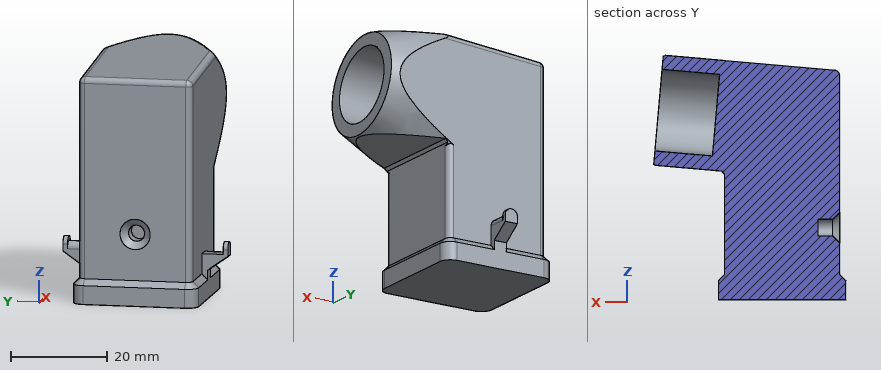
import cadquery as cq
import math

body_width = 24.0
body_corner_radius = 1.25
half_body = body_width / 2

flange_width = 26.5
flange_straight_height = 4.0
flange_step = (flange_width - body_width) / 2
flange_height = flange_straight_height + flange_step
flange_corner_radius = body_corner_radius + flange_step

outlet_tilt = 5.0
outlet_half_height = 11.5
mouth_radius = 11.33
mouth_center_x = 25.72
mouth_center_z = 39.42
cone_slope = 0.37
cone_length = 40.0
gusset_size = 0.6
gusset_foot_height = 25.5
bore_radius = 8.5
bore_depth = 12.0

screw_height = 15.0
screw_radius = 1.7
countersink_radius = 3.2
countersink_depth = countersink_radius - screw_radius
screw_hole_depth = 4.5

hook_width = 3.0
hook_reach = 17.5
hook_lip_thickness = 1.0
hook_tip_height = 12.0
hook_saddle_height = 9.5
hook_nose_height = 9.0
hook_root_height = 6.0
hook_round_radius = hook_width / 2
hook_root = half_body - body_corner_radius
hook_lip_inner = hook_reach - hook_lip_thickness

tilt = math.radians(outlet_tilt)

mouth_plane = cq.Plane(
    origin=(mouth_center_x, 0, mouth_center_z),
    xDir=(0, 1, 0),
    normal=(math.cos(tilt), 0, math.sin(tilt)),
)


def axis_height(x):
    """Height of the tilted outlet axis at position x."""
    return mouth_center_z + (x - mouth_center_x) * math.tan(tilt)


def roof_height(x):
    """Height of the sloping roof at position x."""
    return axis_height(x) + outlet_half_height / math.cos(tilt)


def outlet_floor_height(x):
    """Height of the outlet underside at position x."""
    return axis_height(x) - outlet_half_height / math.cos(tilt)


def make_body():
    profile = [
        (-half_body, 0),
        (half_body, 0),
        (half_body, roof_height(half_body)),
        (-half_body, roof_height(-half_body)),
    ]
    tower = cq.Workplane("XZ").polyline(profile).close().extrude(half_body, both=True)
    return tower.edges("|Z").fillet(body_corner_radius).faces(">Z").edges().fillet(body_corner_radius)


def make_flange():
    block = cq.Workplane("XY").rect(flange_width, flange_width).extrude(flange_height)
    block = block.edges("|Z").fillet(flange_corner_radius)
    return block.faces(">Z").edges().chamfer(flange_step)


def make_outlet_gusset():
    """Filling of the inside corner where the outlet underside meets the tower wall."""
    gusset_tip = half_body + gusset_size
    profile = [
        (0, gusset_foot_height),
        (half_body, gusset_foot_height),
        (half_body, outlet_floor_height(half_body) - gusset_size),
        (gusset_tip, outlet_floor_height(gusset_tip)),
        (gusset_tip, axis_height(gusset_tip)),
        (0, axis_height(0)),
    ]
    return cq.Workplane("XZ").polyline(profile).close().extrude(half_body, both=True)


def make_outlet():
    prism_length = mouth_center_x / math.cos(tilt)
    prism = cq.Workplane(mouth_plane).rect(body_width, 2 * outlet_half_height).extrude(-prism_length)
    roof_edges = prism.edges(cq.selectors.ParallelDirSelector(mouth_plane.zDir)).edges(">Z")
    prism = roof_edges.fillet(body_corner_radius)
    cone = cq.Solid.makeCone(
        mouth_radius,
        mouth_radius + cone_slope * cone_length,
        cone_length,
        pnt=mouth_plane.origin,
        dir=mouth_plane.zDir * -1,
    )
    return prism.union(make_outlet_gusset()).intersect(cq.Workplane(cone))


def make_bore():
    return cq.Workplane(mouth_plane).circle(bore_radius).extrude(-bore_depth)


def make_screw_hole():
    """Revolved cutter, drawn as depth into the wall against radius."""
    bottom_x = -half_body + screw_hole_depth
    profile = [
        (-half_body, 0),
        (-half_body, countersink_radius),
        (-half_body + countersink_depth, screw_radius),
        (bottom_x, screw_radius),
        (bottom_x, 0),
    ]
    cutter = cq.Workplane("XY").polyline(profile).close().revolve(360, (0, 0, 0), (1, 0, 0))
    return cutter.translate((0, 0, screw_height))


def make_hook():
    """Hook on the +Y side: a bracket with an upright, round-topped lip."""
    flange_face = flange_width / 2
    profile = [
        (hook_root, flange_straight_height),
        (flange_face, flange_straight_height),
        (flange_face, hook_root_height),
        (hook_reach, hook_nose_height),
        (hook_reach, hook_tip_height),
        (hook_lip_inner, hook_tip_height),
        (hook_lip_inner, hook_saddle_height),
        (hook_root, hook_saddle_height),
    ]
    hook = cq.Workplane("YZ").polyline(profile).close().extrude(hook_width / 2, both=True)
    shoulder_height = hook_tip_height - hook_round_radius
    envelope = (
        cq.Workplane("XZ")
        .moveTo(-hook_round_radius, 0)
        .lineTo(hook_round_radius, 0)
        .lineTo(hook_round_radius, shoulder_height)
        .threePointArc((0, hook_tip_height), (-hook_round_radius, shoulder_height))
        .close()
        .extrude(-hook_reach)
    )
    return hook.intersect(envelope)


def make_hook_rib():
    """Half-round rib along the saddle of the +Y hook, from the wall to the lip."""
    return (
        cq.Workplane("XZ", origin=(0, hook_root, hook_saddle_height))
        .moveTo(-hook_round_radius, 0)
        .threePointArc((0, hook_round_radius), (hook_round_radius, 0))
        .close()
        .extrude(-(hook_lip_inner - hook_root))
    )


hook = make_hook()
result = make_body().union(make_outlet()).union(make_flange())
result = result.union(hook).union(hook.mirror("XZ")).union(make_hook_rib())
result = result.cut(make_bore()).cut(make_screw_hole())